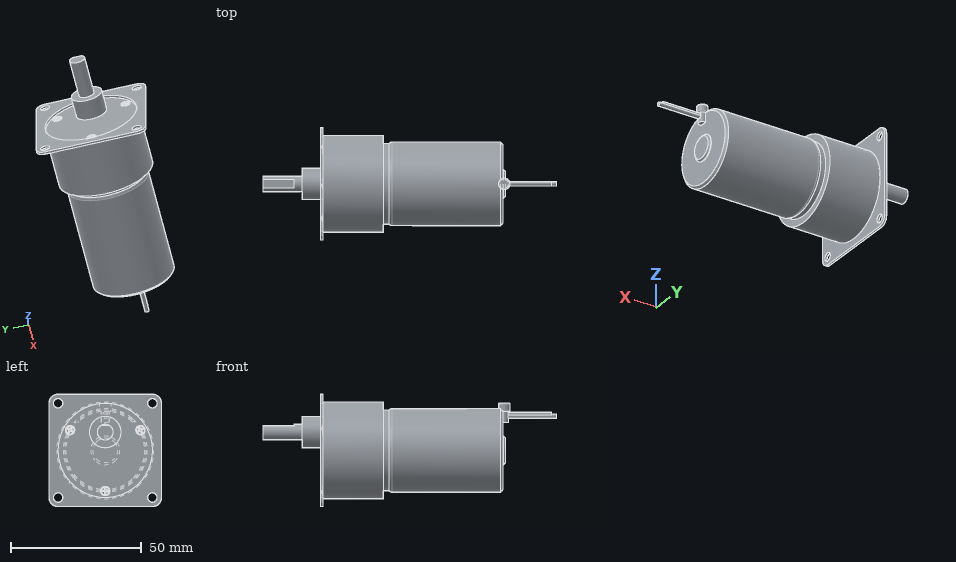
import cadquery as cq


FLANGE_SIDE = 43.0
FLANGE_THICKNESS = 1.0
FLANGE_CORNER_RADIUS = 3.5
MOUNT_HOLE_SPACING = 36.0
MOUNT_HOLE_DIAMETER = 3.5
FLANGE_BORE_DIAMETER = 36.0

GEARBOX_DIAMETER = 37.0
GEARBOX_END = 24.0
NECK_DIAMETER = 31.0

SHAFT_OFFSET = 7.0
BOSS_DIAMETER = 12.0
BOSS_LENGTH = 7.0
SHAFT_DIAMETER = 6.0
SHAFT_TIP = -22.0
FLAT_LENGTH = 12.0
FLAT_DEPTH = 0.5

SCREW_COUNT = 3
SCREW_CIRCLE_RADIUS = 15.5
SCREW_HEAD_DIAMETER = 3.6
SCREW_RIM_HEIGHT = 0.2
SCREW_DOME_DIAMETER = 3.0
SCREW_DOME_HEIGHT = 0.4
SCREW_SLOT_LENGTH = 2.3
SCREW_SLOT_WIDTH = 0.5
SCREW_SLOT_DEPTH = 0.3

CAN_DIAMETER = 32.0
CAN_FRONT = 25.85
CAN_REAR = 69.7
CAN_FRONT_FILLET = 1.5
CAN_REAR_CHAMFER = 1.0

CAP_BASE_DIAMETER = 11.0
CAP_HEIGHT = 1.0
CAP_CHAMFER = 0.8

CAPACITOR_X = 70.2
CAPACITOR_DIAMETER = 4.4
CAPACITOR_BOTTOM = 14.85
CAPACITOR_TOP = 18.1
CAPACITOR_FILLET = 0.4
STEM_DIAMETER = 3.2
STEM_BOTTOM = 10.6

WIRE_DIAMETER = 1.7
WIRES = [(88.3, 13.8), (90.19, 13.05)]


def rod(diameter, start_x, end_x, z=0.0):
    """Cylinder parallel to the X axis, centred at y = 0 and the given z."""
    plane = cq.Workplane("YZ", origin=(start_x, 0, z))
    return plane.circle(diameter / 2).extrude(end_x - start_x)


def post(diameter, bottom_z, top_z):
    """Vertical cylinder on the capacitor axis."""
    plane = cq.Workplane("XY", origin=(CAPACITOR_X, 0, bottom_z))
    return plane.circle(diameter / 2).extrude(top_z - bottom_z)


def make_flange():
    plate = (
        cq.Workplane("YZ")
        .rect(FLANGE_SIDE, FLANGE_SIDE)
        .extrude(FLANGE_THICKNESS)
        .edges("|X")
        .fillet(FLANGE_CORNER_RADIUS)
    )
    holes = (
        cq.Workplane("YZ")
        .rect(MOUNT_HOLE_SPACING, MOUNT_HOLE_SPACING, forConstruction=True)
        .vertices()
        .circle(MOUNT_HOLE_DIAMETER / 2)
        .extrude(FLANGE_THICKNESS)
    )
    return plate.cut(holes).cut(rod(FLANGE_BORE_DIAMETER, 0, FLANGE_THICKNESS))


def make_gearbox():
    """Housing and neck behind the flange; the housing front shows in the flange bore."""
    housing = rod(GEARBOX_DIAMETER, FLANGE_THICKNESS, GEARBOX_END)
    neck = rod(NECK_DIAMETER, GEARBOX_END, CAN_FRONT + CAN_FRONT_FILLET)
    return make_flange().union(housing).union(neck)


def make_output_shaft():
    boss = rod(BOSS_DIAMETER, -BOSS_LENGTH, FLANGE_THICKNESS, SHAFT_OFFSET)
    shaft = rod(SHAFT_DIAMETER, SHAFT_TIP, -BOSS_LENGTH, SHAFT_OFFSET)
    flat_z = SHAFT_OFFSET + SHAFT_DIAMETER / 2 - FLAT_DEPTH
    flat = cq.Workplane("XY").box(
        FLAT_LENGTH, SHAFT_DIAMETER, FLAT_DEPTH, centered=(False, True, False)
    )
    return boss.union(shaft.cut(flat.translate((SHAFT_TIP, 0, flat_z))))


def make_screw():
    """Lowest screw head: a flat rim carrying a spherical dome with a cross slot."""
    dome_base_x = FLANGE_THICKNESS - SCREW_RIM_HEIGHT
    crown_x = dome_base_x - SCREW_DOME_HEIGHT
    dome_radius = SCREW_DOME_DIAMETER / 2
    sphere_radius = (dome_radius**2 + SCREW_DOME_HEIGHT**2) / (2 * SCREW_DOME_HEIGHT)
    sphere = cq.Workplane("XY").sphere(sphere_radius).translate((crown_x + sphere_radius, 0, 0))
    dome = rod(SCREW_DOME_DIAMETER, crown_x, dome_base_x).intersect(sphere)
    rim = rod(SCREW_HEAD_DIAMETER, dome_base_x, FLANGE_THICKNESS)
    slot = (
        cq.Workplane("YZ", origin=(crown_x, 0, 0))
        .rect(SCREW_SLOT_LENGTH, SCREW_SLOT_WIDTH)
        .extrude(SCREW_SLOT_DEPTH)
    )
    cross = slot.union(slot.rotate((0, 0, 0), (1, 0, 0), 90))
    return rim.union(dome).cut(cross).translate((0, 0, -SCREW_CIRCLE_RADIUS))


def make_can():
    can = (
        rod(CAN_DIAMETER, CAN_FRONT, CAN_REAR)
        .faces("<X")
        .edges()
        .fillet(CAN_FRONT_FILLET)
        .faces(">X")
        .edges()
        .chamfer(CAN_REAR_CHAMFER)
    )
    cap = rod(CAP_BASE_DIAMETER, CAN_REAR, CAN_REAR + CAP_HEIGHT)
    cap = cap.faces(">X").edges().chamfer(CAP_CHAMFER)
    return can.union(cap)


def make_capacitor():
    body = post(CAPACITOR_DIAMETER, CAPACITOR_BOTTOM, CAPACITOR_TOP)
    body = body.faces("<Z or >Z").edges().fillet(CAPACITOR_FILLET)
    return body.union(post(STEM_DIAMETER, STEM_BOTTOM, CAPACITOR_BOTTOM))


result = make_gearbox().union(make_output_shaft()).union(make_can()).union(make_capacitor())
for index in range(SCREW_COUNT):
    angle = index * 360 / SCREW_COUNT
    result = result.union(make_screw().rotate((0, 0, 0), (1, 0, 0), angle))
for wire_end, wire_z in WIRES:
    result = result.union(rod(WIRE_DIAMETER, CAPACITOR_X, wire_end, wire_z))